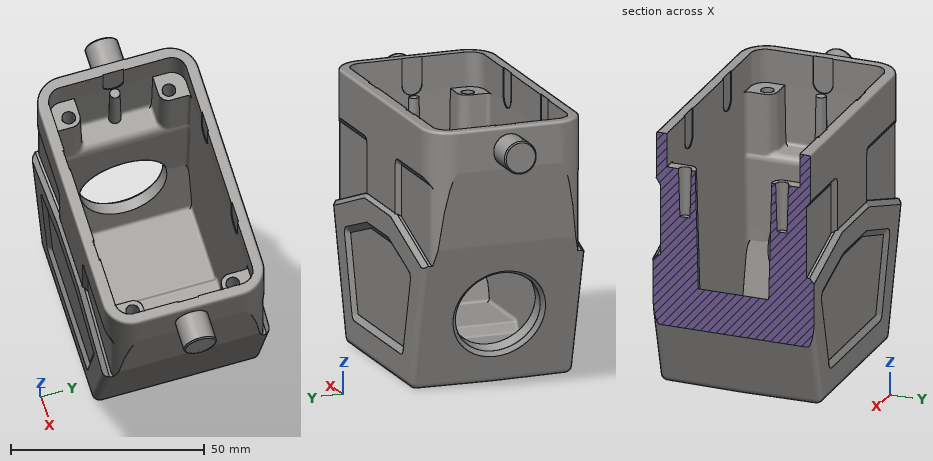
import cadquery as cq
import math

PIN_SPAN = 89.0
HEIGHT = 72.0
UPPER_HALF_X = 36.5
UPPER_HALF_Y = 21.5
UPPER_CORNER_RADIUS = 7.65
RIM_ROUND = 0.7
COLUMN_BASE_Z = 33.8

LEAN_ANGLE = 15.0
LEAN = math.tan(math.radians(LEAN_ANGLE))
TAPER_TOP_Z = 60.9
KNEE_X = 34.4
KNEE_Z = 40.0
KNEE_ROUND = 4.45
BOTTOM_HALF_X = KNEE_X - KNEE_Z * LEAN

LOWER_HALF_Y = 22.5
BOTTOM_RISE = 0.3
GABLE_HALF_X = 9.5
GABLE_Z = 44.4
GABLE_ANGLE = 19.7
GABLE_BEVEL = 1.3
LOWER_ROUND = 2.05

BEVEL_RUN = 1.7
PANEL_DEPTH = 1.1
PANEL_CORNER_RADIUS = 2.0
UPPER_PANEL_INNER_X = 10.15
UPPER_PANEL_TOP_Z = 59.1
PANEL_END_X = 32.8
PANEL_END_Z = 45.4
PANEL_END_REACH = 2.7
PANEL_END_ROUND = 2.3
LOWER_PANEL_TOP_X = 7.65
LOWER_PANEL_TOP_Z = 37.0
LOWER_PANEL_EAVE_X = 24.0
LOWER_PANEL_EAVE_Z = 31.3
LOWER_PANEL_BOTTOM_X = 18.0
LOWER_PANEL_BOTTOM_Z = 8.0

PIN_DIAMETER = 8.8
PIN_Z = 65.9
PIN_CHAMFER = 0.4
PIN_EMBED = 0.9

ENTRY_DIAMETER = 23.4
ENTRY_CHAMFER = 1.1
ENTRY_Z = 19.85
ENTRY_WALL = 4.7
ENTRY_LENGTH = 10.7

CAVITY_HALF_X = 33.4
CAVITY_HALF_Y = 18.5
CAVITY_CORNER_RADIUS = 4.0
CAVITY_DRAFT = 1.3
SEAT_Z = 62.7
LOW_FLOOR_Z = 4.9
HIGH_FLOOR_Z = 7.6
STEP_X = 1.25
STEP_RUN = 1.7
FAR_FLOOR_X = 22.6
FLOOR_ROUND = 0.9
SHELF_Z = 46.3
SHELF_EDGE_X = 24.7
SHELF_EDGE_ROUND = 2.1

POST_X = 25.7
POST_Y = 10.6
POST_CORNER_RADIUS = 2.7
POST_DRAFT = 1.5
POST_ROOT_ROUND = 1.0
SCREW_X = 28.6
SCREW_Y = 13.5
SCREW_DIAMETER = 2.7
SCREW_MOUTH_DIAMETER = 3.5
SCREW_DEPTH = 13.35

RIB_X = 32.1
RIB_TOP_Z = 61.8
RIB_DIAMETER = 2.7
RIB_DRAFT = 1.0
GROOVE_WIDTH = 5.5
GROOVE_DEPTH = 0.3
GROOVE_BOTTOM_Z = 61.9
GROOVE_X = 13.35


def prism_along_y(points, half_y):
    """Extrude an XZ outline symmetrically about the XZ plane."""
    return cq.Workplane("XZ").polyline(points).close().extrude(half_y, both=True)


def mirrored_points(right_half):
    """Close a symmetric XZ outline from its +X points, listed bottom to top."""
    return right_half + [(-x, z) for x, z in reversed(right_half)]


def rounded_box(half_x, half_y, corner_radius, bottom_z, top_z):
    box = cq.Workplane("XY").workplane(offset=bottom_z).rect(2 * half_x, 2 * half_y).extrude(top_z - bottom_z)
    return box.edges("|Z").fillet(corner_radius)


def box_around(x, y, z, size):
    return cq.selectors.BoxSelector((x - size, y - size, z - size), (x + size, y + size, z + size))


def upper_body():
    half = [(BOTTOM_HALF_X, 0), (KNEE_X, KNEE_Z), (UPPER_HALF_X, TAPER_TOP_Z), (UPPER_HALF_X, HEIGHT)]
    column = rounded_box(UPPER_HALF_X, UPPER_HALF_Y, UPPER_CORNER_RADIUS, COLUMN_BASE_Z, HEIGHT)
    column = column.faces(">Z").edges().fillet(RIM_ROUND)
    profile = prism_along_y(mirrored_points(half), LOWER_HALF_Y)
    for end in (-1, 1):
        profile = profile.edges(box_around(end * KNEE_X, 0, KNEE_Z, 0.9)).fillet(KNEE_ROUND)
    column = column.intersect(profile)
    for panel in upper_panels():
        column = column.cut(panel)
    for end in (-1, 1):
        for side in (-1, 1):
            floor_y = side * (UPPER_HALF_Y - PANEL_DEPTH)
            panel_end = box_around(end * PANEL_END_X, floor_y, PANEL_END_Z, PANEL_END_REACH)
            column = column.edges(panel_end).fillet(PANEL_END_ROUND)
    return column


def beveled_recess(outline, face_y, side):
    """A panel recess on the face at side * face_y, its walls sloping in to PANEL_DEPTH."""
    wall_angle = math.degrees(math.atan(BEVEL_RUN / PANEL_DEPTH))
    plane = cq.Plane(origin=(0, side * face_y, 0), xDir=(1, 0, 0), normal=(0, -side, 0))
    points = [(x, z * plane.yDir.z) for x, z in outline]
    outline_face = cq.Sketch().polygon(points + points[:1]).vertices().fillet(PANEL_CORNER_RADIUS)
    return cq.Workplane(plane).placeSketch(outline_face).extrude(PANEL_DEPTH, taper=wall_angle)


def upper_panels():
    """Recesses beside the middle strip; their outer ends run out through the rounded corners."""
    panels = []
    for side in (-1, 1):
        for end in (-1, 1):
            outline = [
                (end * UPPER_PANEL_INNER_X, COLUMN_BASE_Z - BEVEL_RUN),
                (end * (UPPER_HALF_X + BEVEL_RUN), COLUMN_BASE_Z - BEVEL_RUN),
                (end * (UPPER_HALF_X + BEVEL_RUN), UPPER_PANEL_TOP_Z),
                (end * UPPER_PANEL_INNER_X, UPPER_PANEL_TOP_Z),
            ]
            panels.append(beveled_recess(outline, UPPER_HALF_Y, side))
    return panels


def lower_block():
    """Gabled block: its gable is beveled and its other outer edges are rounded."""
    gable_slope = math.tan(math.radians(GABLE_ANGLE))
    eave_z = (GABLE_Z + (GABLE_HALF_X - BOTTOM_HALF_X) * gable_slope) / (1 + LEAN * gable_slope)
    eave_x = BOTTOM_HALF_X + eave_z * LEAN
    half = [(BOTTOM_HALF_X, 0), (eave_x, eave_z), (GABLE_HALF_X, GABLE_Z)]
    block = cq.Workplane("XZ").polyline(mirrored_points(half)).close().extrude(LOWER_HALF_Y)
    underside = [(0, 0), (-LOWER_HALF_Y, 0), (-LOWER_HALF_Y, BOTTOM_RISE)]
    block = block.cut(cq.Workplane("YZ").polyline(underside).close().extrude(UPPER_HALF_X, both=True))
    gable_box = cq.selectors.BoxSelector((-eave_x, -2 * LOWER_HALF_Y, eave_z), (eave_x, 0, HEIGHT))
    block = block.faces("<Y").edges(gable_box).chamfer(GABLE_BEVEL)
    lower_box = cq.selectors.BoxSelector((-eave_x, -2 * LOWER_HALF_Y, -0.9), (eave_x, -0.9, eave_z * 0.75))
    block = block.edges(lower_box).fillet(LOWER_ROUND)
    return block.union(block.mirror("XZ"))


def lower_panel(side):
    half = [
        (LOWER_PANEL_BOTTOM_X, LOWER_PANEL_BOTTOM_Z),
        (LOWER_PANEL_EAVE_X, LOWER_PANEL_EAVE_Z),
        (LOWER_PANEL_TOP_X, LOWER_PANEL_TOP_Z),
    ]
    return beveled_recess(mirrored_points(half), LOWER_HALF_Y, side)


def locking_pin(end):
    length = PIN_SPAN / 2 - CAVITY_HALF_X - PIN_EMBED
    plane = cq.Plane(origin=(end * (PIN_SPAN / 2 - length), 0, PIN_Z), xDir=(0, 1, 0), normal=(end, 0, 0))
    pin = cq.Workplane(plane).circle(PIN_DIAMETER / 2).extrude(length)
    return pin.faces(">X" if end > 0 else "<X").chamfer(PIN_CHAMFER)


def lower_cavity():
    """Drafted cavity under the seat level, with sloped ends, a stepped floor and a shelf."""
    wall_shift = ENTRY_WALL / math.cos(math.radians(LEAN_ANGLE))
    near_floor_x = BOTTOM_HALF_X - wall_shift + LOW_FLOOR_Z * LEAN
    slope_top_z = LOW_FLOOR_Z + (SHELF_EDGE_X - near_floor_x) / LEAN
    far_top_x = FAR_FLOOR_X + (SEAT_Z - HIGH_FLOOR_Z) * LEAN
    outline = [
        (-UPPER_HALF_X, SEAT_Z),
        (-UPPER_HALF_X, SHELF_Z),
        (-SHELF_EDGE_X, SHELF_Z),
        (-SHELF_EDGE_X, slope_top_z),
        (-near_floor_x, LOW_FLOOR_Z),
        (STEP_X, LOW_FLOOR_Z),
        (STEP_X + STEP_RUN, HIGH_FLOOR_Z),
        (FAR_FLOOR_X, HIGH_FLOOR_Z),
        (far_top_x, SEAT_Z),
    ]
    profile = prism_along_y(outline, UPPER_HALF_Y)
    shelf_edge = cq.selectors.NearestToPointSelector((-SHELF_EDGE_X, 0, SHELF_Z))
    profile = profile.edges(shelf_edge).fillet(SHELF_EDGE_ROUND)
    tub = (
        cq.Workplane("XY")
        .workplane(offset=SEAT_Z)
        .sketch()
        .rect(2 * CAVITY_HALF_X, 2 * CAVITY_HALF_Y)
        .vertices()
        .fillet(CAVITY_CORNER_RADIUS)
        .finalize()
        .extrude(-SEAT_Z, taper=CAVITY_DRAFT)
    )
    cavity = tub.intersect(profile)
    floor_box = cq.selectors.BoxSelector(
        (-SHELF_EDGE_X, -UPPER_HALF_Y, LOW_FLOOR_Z - 0.9), (SHELF_EDGE_X, UPPER_HALF_Y, HIGH_FLOOR_Z + 0.9)
    )
    cavity = cavity.edges(floor_box).fillet(FLOOR_ROUND)
    for end in (-1, 1):
        for side in (-1, 1):
            cavity = cavity.cut(corner_post(end, side))
    cavity = round_post_roots(cavity)
    for end in (-1, 1):
        cavity = cavity.cut(end_rib(end))
    return cavity


def round_post_roots(cavity):
    """Round where the posts meet the long walls and the shelf meets the posts and the end wall."""
    for side in (-1, 1):
        for end in (-1, 1):
            root = cq.selectors.BoxSelector(
                (end * POST_X - 1.8, side * CAVITY_HALF_Y - 1.3, SHELF_Z - 26.7),
                (end * POST_X + 1.8, side * CAVITY_HALF_Y + 1.3, SHELF_Z + 10.7),
            )
            cavity = cavity.edges(root).fillet(POST_ROOT_ROUND)
    shelf = cq.selectors.BoxSelector((-UPPER_HALF_X, -POST_Y - 0.9, SHELF_Z - 0.1), (-28.5, POST_Y + 0.9, SHELF_Z + 0.1))
    return cavity.edges(shelf).fillet(POST_ROOT_ROUND)


def corner_post(end, side):
    """A post that fills a cavity corner and widens on the way down."""
    reach_x = 2 * (UPPER_HALF_X - POST_X)
    reach_y = 2 * (UPPER_HALF_Y - POST_Y)
    center = (end * (POST_X + reach_x / 2), side * (POST_Y + reach_y / 2))
    return (
        cq.Workplane("XY")
        .workplane(offset=SEAT_Z)
        .center(*center)
        .sketch()
        .rect(reach_x, reach_y)
        .vertices()
        .fillet(POST_CORNER_RADIUS)
        .finalize()
        .extrude(-SEAT_Z, taper=-POST_DRAFT)
    )


def end_rib(end):
    rib = cq.Workplane("XY").workplane(offset=RIB_TOP_Z).center(end * RIB_X, 0).circle(RIB_DIAMETER / 2)
    return rib.extrude(-RIB_TOP_Z, taper=-RIB_DRAFT)


def wall_groove(x, y, x_dir):
    """A shallow round-bottomed groove centred on the wall at (x, y), open at the rim."""
    plane = cq.Plane(origin=(x, y, 0), xDir=x_dir, normal=(x_dir[1], -x_dir[0], 0))
    radius = GROOVE_WIDTH / 2
    return (
        cq.Workplane(plane)
        .moveTo(-radius, HEIGHT)
        .lineTo(-radius, GROOVE_BOTTOM_Z + radius)
        .threePointArc((0, GROOVE_BOTTOM_Z), (radius, GROOVE_BOTTOM_Z + radius))
        .lineTo(radius, HEIGHT)
        .close()
        .extrude(GROOVE_DEPTH, both=True)
    )


def cable_entry():
    """Hole square to the leaning -X wall, chamfered outside."""
    lean = math.radians(LEAN_ANGLE)
    inward = (math.cos(lean), 0, math.sin(lean))
    mouth = cq.Plane(origin=(-BOTTOM_HALF_X - ENTRY_Z * LEAN, 0, ENTRY_Z), xDir=(0, 1, 0), normal=inward)
    radius = ENTRY_DIAMETER / 2
    hole = cq.Workplane(mouth).circle(radius).extrude(ENTRY_LENGTH)
    bevel = cq.Workplane(mouth).circle(radius + ENTRY_CHAMFER).extrude(ENTRY_CHAMFER, taper=45)
    return hole.union(bevel)


def screw_hole(end, side):
    """Blind hole that narrows from its mouth to SCREW_DIAMETER at the bottom."""
    narrowing = (SCREW_MOUTH_DIAMETER - SCREW_DIAMETER) / 2
    draft = math.degrees(math.atan(narrowing / SCREW_DEPTH))
    mouth = cq.Workplane("XY").workplane(offset=SEAT_Z).center(end * SCREW_X, side * SCREW_Y)
    return mouth.circle(SCREW_MOUTH_DIAMETER / 2).extrude(-SCREW_DEPTH, taper=draft)


hood = upper_body().union(lower_block())
for end in (-1, 1):
    hood = hood.union(locking_pin(end))
for side in (-1, 1):
    hood = hood.cut(lower_panel(side))

hood = hood.cut(lower_cavity())
hood = hood.cut(rounded_box(CAVITY_HALF_X, CAVITY_HALF_Y, CAVITY_CORNER_RADIUS, SEAT_Z, HEIGHT))
for end in (-1, 1):
    hood = hood.cut(wall_groove(end * CAVITY_HALF_X, 0, (0, 1, 0)))
    for side in (-1, 1):
        hood = hood.cut(wall_groove(end * GROOVE_X, side * CAVITY_HALF_Y, (1, 0, 0)))
        hood = hood.cut(screw_hole(end, side))

result = hood.cut(cable_entry())